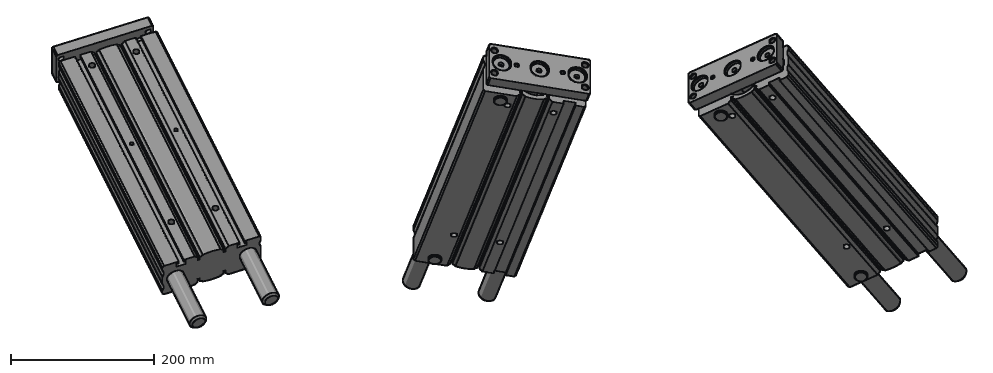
import cadquery as cq
import math

total_length = 510.0
plate_thickness = 16.5
housing_start = 28.5
housing_length = 392.5

housing_width = 148.0
housing_height = 64.0
edge_chamfer = 2.5
half_width = housing_width / 2
half_height = housing_height / 2

groove_outer = 25.5
groove_slot_outer = 21.0
groove_slot_inner = 18.0
barrel_half_width = 13.5
groove_flank_drop = groove_outer - groove_slot_outer
groove_depth = 10.0
crest_radius = 61.0
crest_top_z = half_height - 0.25
crest_bevel = 1.5
crest_drop = crest_radius - math.sqrt(crest_radius**2 - barrel_half_width**2)
shoulder_slope = 30.0
shoulder_width = groove_slot_inner - barrel_half_width - crest_bevel
shoulder_drop = shoulder_width * math.tan(math.radians(shoulder_slope))

slot_inner_edge = 42.0
bottom_slot_width = 17.5
bottom_slot_depth = 5.0
tee_neck_width = 7.5
tee_neck_depth = 4.5
tee_undercut = 3.0
tee_depth = 10.0
flute_center_z = 15.5
flute_half_width = 6.9
flute_depth = 1.95
flute_radius = (flute_half_width**2 + flute_depth**2) / (2 * flute_depth)

mount_hole_diameter = 8.5
mount_hole_first_x = housing_start + 23.5
mount_hole_pitch = 300.0
hole_row_y = 33.0
housing_pin_diameter = 5.0
housing_pin_depth = 8.0

bore_diameter = 50.0
bore_depth = 41.0

guide_offset_y = 54.5
guide_diameter = 25.5
guide_chamfer = 3.0
piston_rod_diameter = 20.5
piston_rod_end_x = 408.0
rod_front_x = 4.0
rod_front_chamfer = 1.0
center_hole_diameter = 7.0
center_hole_depth = 5.0

plate_width = 146.0
plate_height = 61.0
plate_chamfer = 2.0
plate_hole_chamfer = 1.0
corner_hole_diameter = 8.0
corner_hole_y = 65.5
corner_hole_z = 20.0
plate_pin_diameter = 4.5

boss_diameter = 19.0
boss_height = 3.0
boss_chamfer = 1.0
boss_y = 46.0
boss_front_inset = 14.0
boss_rear_inset = 11.0


def cylinder_x(diameter, start_x, end_x, y=0.0, z=0.0):
    """Cylinder along X between two X positions."""
    return (
        cq.Workplane("YZ", origin=(start_x, y, z))
        .circle(diameter / 2)
        .extrude(end_x - start_x)
    )


def bar_x(y_min, y_max, z_min, z_max):
    """Rectangular bar along the full housing length."""
    return (
        cq.Workplane("YZ", origin=(housing_start, 0, 0))
        .center((y_min + y_max) / 2, (z_min + z_max) / 2)
        .rect(y_max - y_min, z_max - z_min)
        .extrude(housing_length)
    )


def barrel_relief():
    """Material removed from the top centre: two sensor grooves and the space over the barrel crest."""
    crest_edge_z = crest_top_z - crest_drop
    bevel_z = crest_edge_z - crest_bevel
    shoulder_z = bevel_z - shoulder_drop
    flank_z = half_height - groove_flank_drop
    floor_z = half_height - groove_depth
    groove = [
        (groove_outer, half_height),
        (groove_slot_outer, flank_z),
        (groove_slot_outer, floor_z),
        (groove_slot_inner, floor_z),
        (groove_slot_inner, shoulder_z),
        (barrel_half_width + crest_bevel, bevel_z),
        (barrel_half_width, crest_edge_z),
    ]
    mirrored_groove = [(-y, z) for y, z in reversed(groove)]
    return (
        cq.Workplane("YZ", origin=(housing_start, 0, 0))
        .polyline(groove)
        .threePointArc((0, crest_top_z), mirrored_groove[0])
        .polyline(mirrored_groove[1:], includeCurrent=True)
        .close()
        .extrude(housing_length)
    )


def top_tee_slot():
    """T-shaped slot along the top on the +Y side."""
    outer_edge = slot_inner_edge + tee_neck_width
    neck_floor_z = half_height - tee_neck_depth
    neck = bar_x(slot_inner_edge, outer_edge, neck_floor_z, half_height)
    wide_part = bar_x(
        slot_inner_edge - tee_undercut,
        outer_edge + tee_undercut,
        half_height - tee_depth,
        neck_floor_z,
    )
    return neck.union(wide_part)


def make_housing():
    housing = bar_x(-half_width, half_width, -half_height, half_height)
    housing = housing.edges("|X").chamfer(edge_chamfer)

    relief = barrel_relief()
    housing = housing.cut(relief).cut(relief.mirror("XY"))

    tee_slot = top_tee_slot()
    bottom_slot = bar_x(
        -slot_inner_edge - bottom_slot_width,
        -slot_inner_edge,
        -half_height,
        -half_height + bottom_slot_depth,
    )
    housing = housing.cut(tee_slot).cut(tee_slot.mirror("XZ")).cut(bottom_slot)

    flute_axis_y = half_width + flute_radius - flute_depth
    for side, level in ((-1, 1), (-1, -1), (1, 1)):
        flute = cylinder_x(
            2 * flute_radius,
            housing_start,
            housing_start + housing_length,
            side * flute_axis_y,
            level * flute_center_z,
        )
        housing = housing.cut(flute)

    for y in (-hole_row_y, hole_row_y):
        for x in (mount_hole_first_x, mount_hole_first_x + mount_hole_pitch):
            mount_hole = (
                cq.Workplane("XY", origin=(x, y, -half_height))
                .circle(mount_hole_diameter / 2)
                .extrude(housing_height)
            )
            housing = housing.cut(mount_hole)
        pin_hole = (
            cq.Workplane("XY", origin=(mount_hole_first_x + mount_hole_pitch / 2, y, half_height))
            .circle(housing_pin_diameter / 2)
            .extrude(-housing_pin_depth)
        )
        housing = housing.cut(pin_hole)

    for x in (housing_start + boss_front_inset, housing_start + housing_length - boss_rear_inset):
        boss = (
            cq.Workplane("XY", origin=(x, boss_y, -half_height))
            .circle(boss_diameter / 2)
            .extrude(-boss_height)
            .faces("<Z")
            .chamfer(boss_chamfer)
        )
        housing = housing.union(boss)

    for y in (-guide_offset_y, guide_offset_y):
        housing = housing.cut(
            cylinder_x(guide_diameter, housing_start, housing_start + housing_length, y)
        )
    housing = housing.cut(cylinder_x(bore_diameter, housing_start, housing_start + bore_depth))
    return housing.cut(cylinder_x(piston_rod_diameter, housing_start, piston_rod_end_x))


def chamfered_plate_hole(diameter, y, z=0.0):
    """Cutter for a hole through the plate with a chamfered mouth on the front face."""
    mouth = (
        cq.Workplane("YZ", origin=(0, y, z))
        .circle(diameter / 2 + plate_hole_chamfer)
        .workplane(offset=plate_hole_chamfer)
        .circle(diameter / 2)
        .loft()
    )
    return cylinder_x(diameter, 0, plate_thickness, y, z).union(mouth)


def make_plate():
    plate = (
        cq.Workplane("YZ")
        .rect(plate_width, plate_height)
        .extrude(plate_thickness)
        .edges("|X")
        .chamfer(plate_chamfer)
    )

    for y in (-guide_offset_y, 0.0, guide_offset_y):
        plate = plate.cut(chamfered_plate_hole(guide_diameter, y))

    for y in (-corner_hole_y, corner_hole_y):
        for z in (-corner_hole_z, corner_hole_z):
            plate = plate.cut(chamfered_plate_hole(corner_hole_diameter, y, z))

    for y in (-hole_row_y, hole_row_y):
        plate = plate.cut(chamfered_plate_hole(plate_pin_diameter, y))

    return plate


def finish_front_end(rod, y):
    """Chamfer the end of a rod seated in the plate and drill its centre hole."""
    rod = rod.faces("<X").edges().chamfer(rod_front_chamfer)
    return rod.cut(cylinder_x(center_hole_diameter, rod_front_x, rod_front_x + center_hole_depth, y))


def make_piston_rod():
    """Piston rod with a wider head that fills its plate hole."""
    head = cylinder_x(guide_diameter, rod_front_x, plate_thickness)
    shank = cylinder_x(piston_rod_diameter, plate_thickness, piston_rod_end_x)
    return finish_front_end(head.union(shank), 0.0)


def make_guide_rod(y):
    """Guide rod seated in the plate, running through the housing to a chamfered free end."""
    rod = cylinder_x(guide_diameter, rod_front_x, total_length, y)
    rod = rod.faces(">X").edges().chamfer(guide_chamfer)
    return finish_front_end(rod, y)


housing = make_housing()
plate = make_plate()
piston_rod = make_piston_rod()
guide_rods = [make_guide_rod(y) for y in (-guide_offset_y, guide_offset_y)]

result = cq.Compound.makeCompound(
    [
        housing.val(),
        plate.val(),
        piston_rod.val(),
        *[rod.val() for rod in guide_rods],
    ]
)